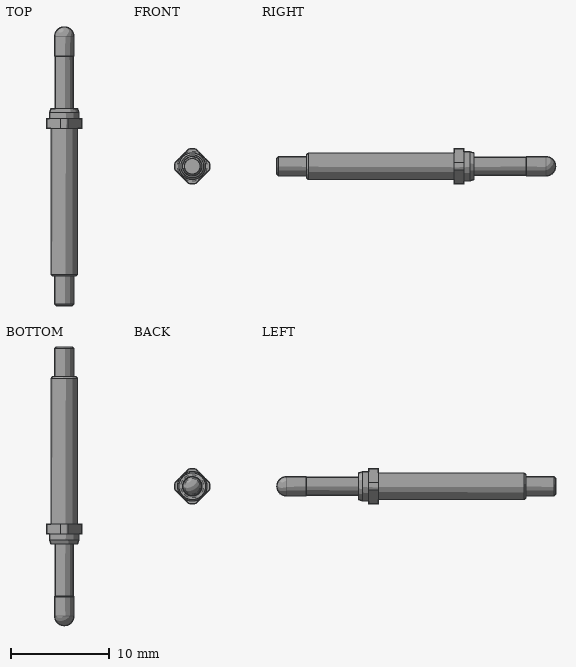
import cadquery as cq
import math

total_length = 28.3

tail_radius = 1.0
tail_length = 3.0
end_chamfer = 0.2

barrel_radius = 1.35
barrel_length = 15.0

flange_width = 3.0
flange_corner_diameter = 3.6
flange_thickness = 1.0

collar_radius = flange_width / 2
collar_length = 0.6
nose_length = 0.42
nose_end_radius = 1.35

stem_radius = 0.93
head_radius = 1.0
head_length = 2.95
head_taper_length = 0.08

flange_start = tail_length + barrel_length
flange_end = flange_start + flange_thickness
nose_start = flange_end + collar_length
nose_end = nose_start + nose_length
head_start = total_length - head_length
dome_start = total_length - head_radius


def make_turned_body():
    """Revolve the half profile (radius, Y) of everything except the flange."""
    dome_mid_offset = head_radius * math.sqrt(0.5)
    profile = (
        cq.Workplane("XY")
        .moveTo(0, 0)
        .lineTo(tail_radius - end_chamfer, 0)
        .lineTo(tail_radius, end_chamfer)
        .lineTo(tail_radius, tail_length)
        .lineTo(barrel_radius - end_chamfer, tail_length)
        .lineTo(barrel_radius, tail_length + end_chamfer)
        .lineTo(barrel_radius, flange_start)
        .lineTo(collar_radius, flange_start)
        .lineTo(collar_radius, nose_start)
        .lineTo(nose_end_radius, nose_end)
        .lineTo(stem_radius, nose_end)
        .lineTo(stem_radius, head_start - head_taper_length)
        .lineTo(head_radius, head_start)
        .lineTo(head_radius, dome_start)
        .threePointArc((dome_mid_offset, dome_start + dome_mid_offset), (0, total_length))
        .close()
    )
    return profile.revolve(360, (0, 0, 0), (0, 1, 0))


def make_flange():
    """Square plate standing on its corner, trimmed by a cylinder about the axis."""
    square = (
        cq.Workplane("XY")
        .box(flange_width, flange_thickness, flange_width)
        .rotate((0, 0, 0), (0, 1, 0), 45)
        .translate((0, flange_start + flange_thickness / 2, 0))
    )
    corner_cylinder = (
        cq.Workplane("XZ", origin=(0, flange_end, 0))
        .circle(flange_corner_diameter / 2)
        .extrude(flange_thickness)
    )
    return square.intersect(corner_cylinder)


result = make_turned_body().union(make_flange())